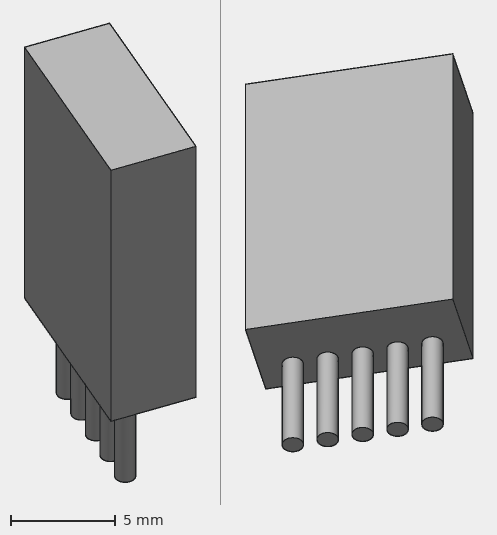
import cadquery as cq

total_height = 20.6
housing_width = 10.15
housing_depth = 4.45
pin_length = 5.09
housing_height = total_height - pin_length

pin_count = 5
pin_diameter = 1.03
pin_pitch = 1.7
pin_row_from_front = 1.48
pin_row_y = pin_row_from_front - housing_depth / 2


def make_housing():
    """Plain block standing on the plane Z = 0, centred in X and Y."""
    return cq.Workplane("XY").box(
        housing_width, housing_depth, housing_height, centered=(True, True, False)
    )


def make_pin(x):
    """Round pin that hangs from the underside of the housing."""
    return cq.Workplane("XY").center(x, pin_row_y).circle(pin_diameter / 2).extrude(-pin_length)


housing = make_housing()

first_pin_x = -pin_pitch * (pin_count - 1) / 2
pins = [make_pin(first_pin_x + index * pin_pitch) for index in range(pin_count)]

result = cq.Compound.makeCompound([housing.val(), *[pin.val() for pin in pins]])